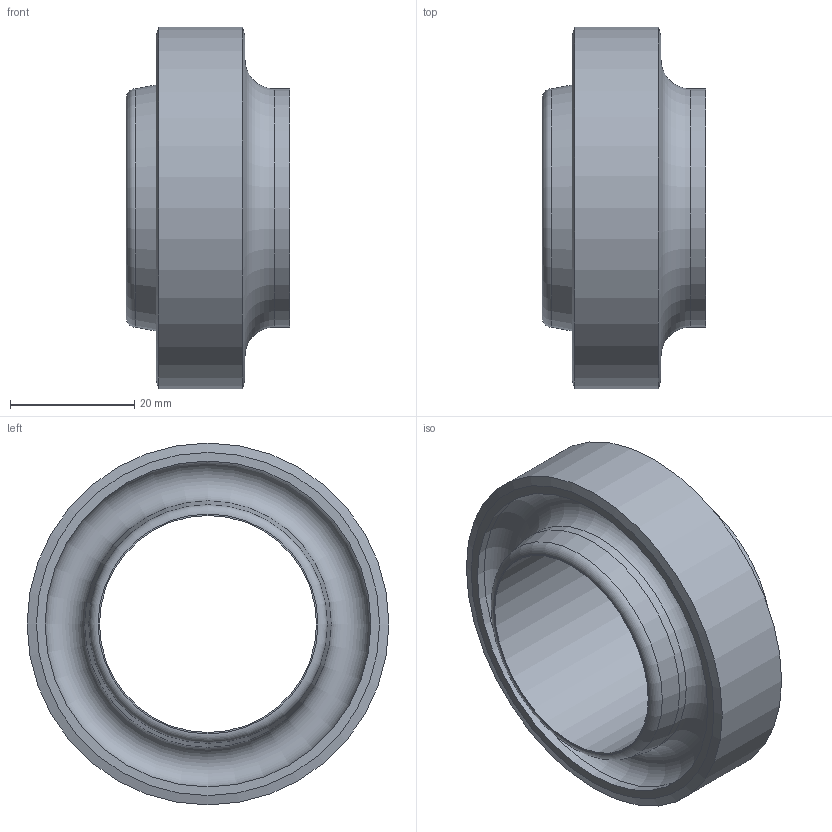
import cadquery as cq
import math

bore_radius = 34.9 / 2
hub_radius = 38.35 / 2
sleeve_root_radius = 39.6 / 2
groove_outer_radius = 52.4 / 2
rim_radius = 58.2 / 2

rim_start = 4.8
rim_end = 19.1
length = 26.3

chamfer_height = 1.5
chamfer_angle = 15
chamfer_depth = chamfer_height * math.tan(math.radians(chamfer_angle))

nose_radius = 1.5
hub_fillet = 4.7

groove_wall_length = 1.5
groove_floor_start = rim_start + groove_wall_length
groove_floor_radius = (groove_outer_radius - sleeve_root_radius) / 2
groove_center_radius = (groove_outer_radius + sleeve_root_radius) / 2


def quarter_arc_middle(center_x, center_y, radius, x_side, y_side):
    """Midpoint of a quarter circle; the side signs pick the quadrant."""
    offset = radius * math.sqrt(0.5)
    return center_x + x_side * offset, center_y + y_side * offset


def add_sleeve(profile):
    """Flat end face, rounded nose and taper widening towards the groove."""
    nose_center_radius = hub_radius - nose_radius
    nose_middle = quarter_arc_middle(nose_radius, nose_center_radius, nose_radius, -1, 1)
    return (
        profile.lineTo(0, nose_center_radius)
        .threePointArc(nose_middle, (nose_radius, hub_radius))
        .lineTo(rim_start, sleeve_root_radius)
    )


def add_groove(profile):
    """Inner wall, semicircular floor and outer wall of the annular groove."""
    floor_bottom = (groove_floor_start + groove_floor_radius, groove_center_radius)
    return (
        profile.lineTo(groove_floor_start, sleeve_root_radius)
        .threePointArc(floor_bottom, (groove_floor_start, groove_outer_radius))
        .lineTo(rim_start, groove_outer_radius)
    )


def add_rim(profile):
    """Front face, chamfered outer cylinder and back face of the rim."""
    chamfer_foot = rim_radius - chamfer_height
    return (
        profile.lineTo(rim_start, chamfer_foot)
        .lineTo(rim_start + chamfer_depth, rim_radius)
        .lineTo(rim_end - chamfer_depth, rim_radius)
        .lineTo(rim_end, chamfer_foot)
        .lineTo(rim_end, hub_radius + hub_fillet)
    )


def add_hub(profile):
    """Concave fillet down to the cylindrical hub, then the back end face."""
    fillet_end = rim_end + hub_fillet
    fillet_middle = quarter_arc_middle(fillet_end, hub_radius + hub_fillet, hub_fillet, -1, -1)
    return (
        profile.threePointArc(fillet_middle, (fillet_end, hub_radius))
        .lineTo(length, hub_radius)
        .lineTo(length, bore_radius)
    )


half_section = cq.Workplane("XY").moveTo(0, bore_radius)
half_section = add_sleeve(half_section)
half_section = add_groove(half_section)
half_section = add_rim(half_section)
half_section = add_hub(half_section)

result = half_section.close().revolve(360, (0, 0, 0), (1, 0, 0))